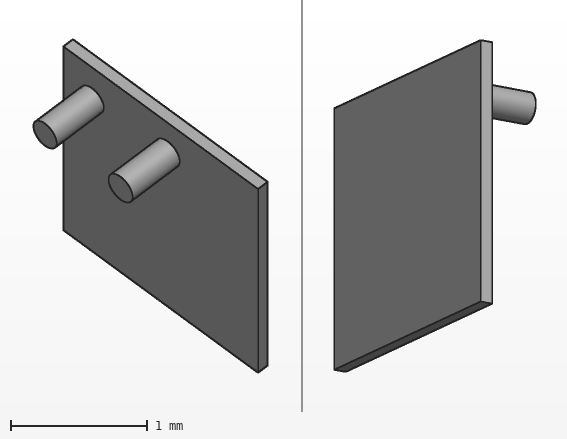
import cadquery as cq

plate_side = 2.0
plate_thickness = 0.1

peg_length = 0.49
pegs = [
    (0.295, 1.655, 0.24),
    (1.072, 1.675, 0.248),
]


def make_plate():
    """Plate whose front face lies on Y = 0 and whose thickness runs toward +Y."""
    return cq.Workplane("XY").box(plate_side, plate_thickness, plate_side, centered=False)


def make_peg(center_x, center_z, diameter):
    """Peg rooted at mid-thickness of the plate and pointing toward -Y."""
    root_depth = plate_thickness / 2
    return (
        cq.Workplane("XZ", origin=(center_x, root_depth, center_z))
        .circle(diameter / 2)
        .extrude(root_depth + peg_length)
    )


result = make_plate()
for center_x, center_z, diameter in pegs:
    result = result.union(make_peg(center_x, center_z, diameter))